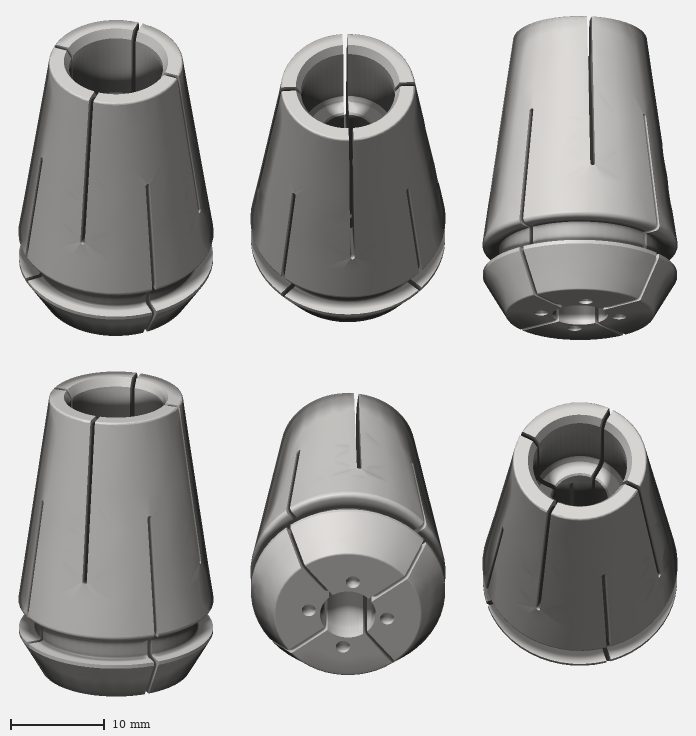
import cadquery as cq
import math

length = 31.5

front_angle = 30.0
lip_radius = 10.4
lip_bottom = 4.35
groove_radius = 8.7
groove_bottom = 4.75
groove_top = 7.45
groove_fillet = 0.25
front_fillet = 0.25

cone_angle = 8.0
cone_radius = 10.52
cone_front_fillet = 0.5
cone_back_fillet = 0.25

bore_radius = 6.0 / 2
bore_chamfer = 0.2
counterbore_radius = 5.05
counterbore_floor = 22.68
floor_chamfer = 0.45
mouth_chamfer = 0.55
mouth_angle = 30.0

slot_width = 0.5
front_slot_end = 21.0
back_slot_end = 13.58
relief_diameter = 1.5
relief_circle_radius = 4.22
slot_reach = 1.5 * cone_radius
slot_overrun = 3.15
relief_depth = back_slot_end + slot_width

tolerance = 0.003

front_radius = lip_radius - lip_bottom * math.tan(math.radians(front_angle))
cone_slope = math.tan(math.radians(cone_angle))
back_radius = cone_radius - (length - groove_top) * cone_slope


def fillet_circle(body, edge_radius, edge_z, fillet_radius):
    """Round the circular edge that has the given radius and height."""
    def matches(edge):
        same_height = abs(edge.Center().z - edge_z) < tolerance
        return same_height and abs(edge.radius() - edge_radius) < tolerance

    return body.edges("%CIRCLE").filter(matches).fillet(fillet_radius)


def make_body():
    """Revolved outside shape with rounded cone and groove edges."""
    body = (
        cq.Workplane("XZ")
        .polyline([
            (0, 0),
            (front_radius, 0),
            (lip_radius, lip_bottom),
            (lip_radius, groove_bottom),
            (groove_radius, groove_bottom),
            (groove_radius, groove_top),
            (cone_radius, groove_top),
            (back_radius, length),
            (0, length),
        ])
        .close()
        .revolve(360, (0, 0), (0, 1))
    )
    body = fillet_circle(body, cone_radius, groove_top, cone_front_fillet)
    body = fillet_circle(body, back_radius, length, cone_back_fillet)
    body = fillet_circle(body, front_radius, 0, front_fillet)
    return fillet_circle(body, groove_radius, groove_bottom, groove_fillet)


def make_bore():
    """Bore with a wider counterbore open at the back end."""
    mouth_depth = mouth_chamfer / math.tan(math.radians(mouth_angle))
    return (
        cq.Workplane("XZ")
        .polyline([
            (0, 0),
            (bore_radius, 0),
            (bore_radius, counterbore_floor - bore_chamfer),
            (bore_radius + bore_chamfer, counterbore_floor),
            (counterbore_radius - floor_chamfer, counterbore_floor),
            (counterbore_radius, counterbore_floor + floor_chamfer),
            (counterbore_radius, length - mouth_depth),
            (counterbore_radius + mouth_chamfer, length),
            (0, length),
        ])
        .close()
        .revolve(360, (0, 0), (0, 1))
    )


def make_slot_half(open_z, end_z):
    """Slot from the axis out along -Y, open at one end face and round at the other end."""
    radius = slot_width / 2
    toward_end = math.copysign(1, end_z - open_z)
    round_centre = end_z - toward_end * radius
    return (
        cq.Workplane("XZ")
        .moveTo(-radius, open_z)
        .lineTo(-radius, round_centre)
        .threePointArc((0, end_z), (radius, round_centre))
        .lineTo(radius, open_z)
        .close()
        .extrude(slot_reach)
    )


def make_front_slot():
    """Level slot, open at the front face."""
    return make_slot_half(0, front_slot_end)


def make_back_slot():
    """Slot open at the back face, its floor square to the clamping cone."""
    outer_radius = cone_radius - (back_slot_end - groove_top) * cone_slope
    pivot = (0, -outer_radius, back_slot_end)
    pivot_axis_end = (1, -outer_radius, back_slot_end)
    level_slot = make_slot_half(length + slot_overrun, back_slot_end)
    return level_slot.rotate(pivot, pivot_axis_end, -cone_angle)


def make_relief_holes():
    """Four blind holes beside the bore, one crossing the floor of each back slot."""
    return (
        cq.Workplane("XY")
        .polarArray(relief_circle_radius, 45, 360, 4)
        .circle(relief_diameter / 2)
        .extrude(relief_depth)
    )


result = make_body().cut(make_bore()).cut(make_relief_holes())
for turn in (0, 90, 180, 270):
    result = result.cut(make_front_slot().rotate((0, 0, 0), (0, 0, 1), turn))
    result = result.cut(make_back_slot().rotate((0, 0, 0), (0, 0, 1), turn + 45))